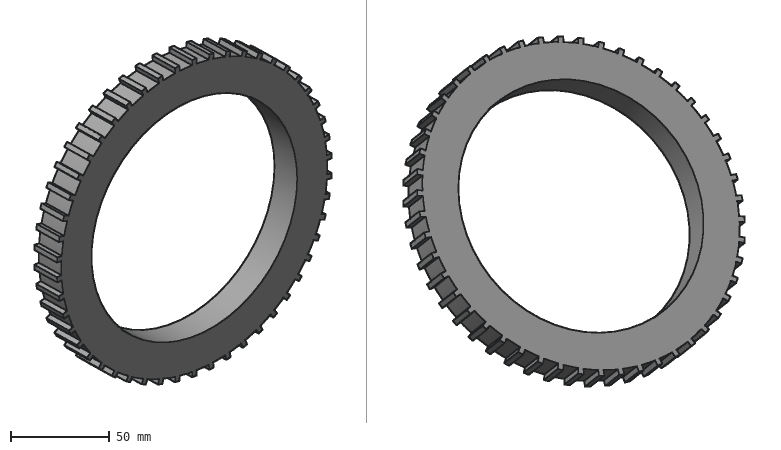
import cadquery as cq

thickness = 18.2
outer_diameter = 182.0
root_diameter = 176.0
bore_diameter = 136.0

tooth_count = 50
tooth_height = (outer_diameter - root_diameter) / 2
tooth_width = tooth_height
tooth_overlap = 1.8


def make_ring():
    """Plain ring between the bore and the tooth roots, centred on the origin."""
    return (
        cq.Workplane("YZ")
        .circle(root_diameter / 2)
        .circle(bore_diameter / 2)
        .extrude(thickness / 2, both=True)
    )


def make_tooth(angle):
    """Bar across the full ring thickness, turned about X from the +Z direction."""
    bar_height = tooth_height + tooth_overlap
    bar_center = (outer_diameter - bar_height) / 2
    return (
        cq.Workplane("XY")
        .box(thickness, tooth_width, bar_height)
        .translate((0, 0, bar_center))
        .rotate((0, 0, 0), (1, 0, 0), angle)
    )


result = make_ring()
for index in range(tooth_count):
    result = result.union(make_tooth(index * 360 / tooth_count))